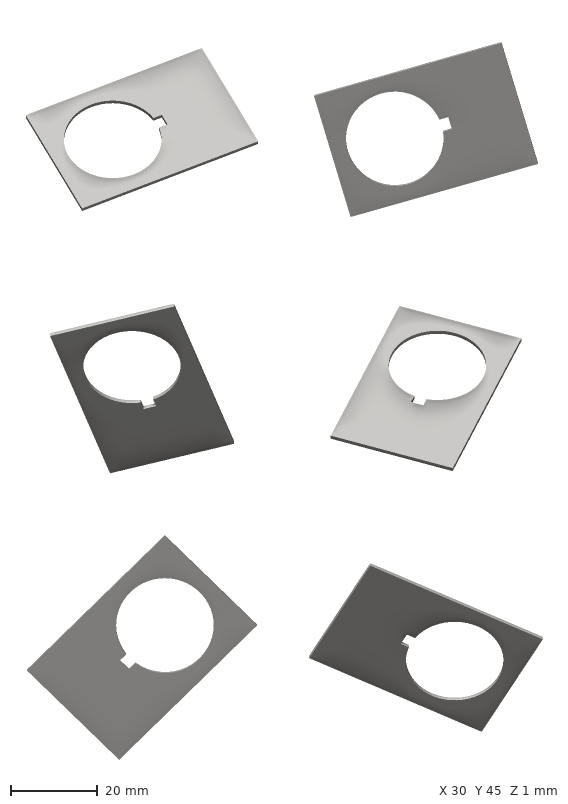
import cadquery as cq

length = 45.0
width = 30.0
thickness = 1.0

opening_diameter = 22.5
opening_y = (width - length) / 2

notch_width = 3.0
notch_reach = 13.28

plate = cq.Workplane("XY").box(width, length, thickness, centered=(True, True, False))

opening = (
    cq.Workplane("XY")
    .center(0, opening_y)
    .circle(opening_diameter / 2)
    .extrude(thickness)
)

notch = (
    cq.Workplane("XY")
    .center(0, opening_y)
    .box(notch_width, notch_reach, thickness, centered=(True, False, False))
)

result = plate.cut(opening.union(notch))